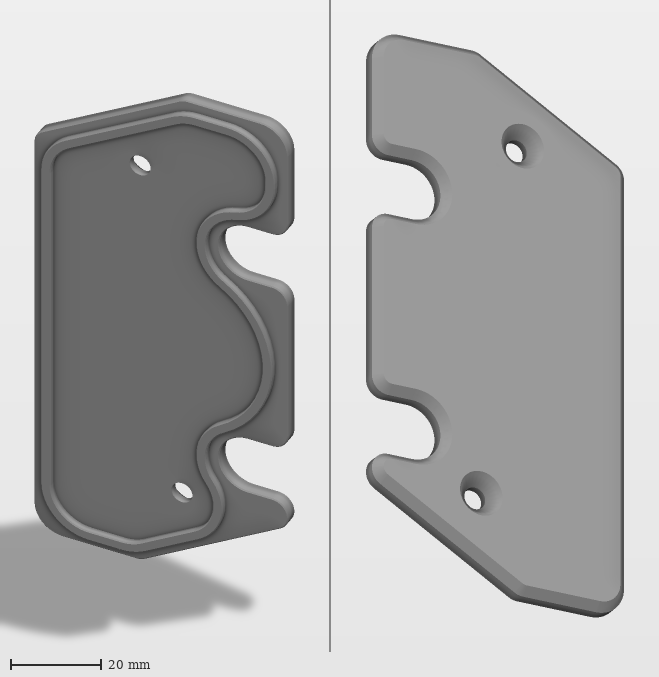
import cadquery as cq
import math

width = 63.0
height = 129.8
slant_angle = math.radians(30)
slope = math.tan(slant_angle)
top_corner_x = 37.0
tip_z = 21.2
left_top_z = height - top_corner_x * slope
bottom_corner_x = width - tip_z / slope
large_corner_radius = 7.0
small_corner_radius = 4.0

slot_radius = 7.1
slot_center_x = 53.1
lower_slot_z = 34.8
upper_slot_z = 92.9

plate_thickness = 5.0
rib_height = 1.7
back_chamfer = 2.0
edge_chamfer = 0.3

rib_margin = 2.5
rib_width = 2.5
rib_corner_radius = 12.0
rib_lobe_x = 60.6
rib_bulge_x = 60.0

hole_diameter = 5.2
countersink_diameter = 10.6
countersink_depth = 3.1
hole_places = [(26.3, 108.2), (36.7, 21.9)]

smallest_line = 1.3e-06


def step(start, end, distance):
    """Point at a given distance from start on the way to end."""
    share = distance / math.dist(start, end)
    return (start[0] + share * (end[0] - start[0]), start[1] + share * (end[1] - start[1]))


def rounded_polygon(corners):
    """Closed outline through (x, z, radius) corners, each rounded by a tangent arc."""
    rounds = []
    for i, (x, z, radius) in enumerate(corners):
        corner = (x, z)
        before = corners[i - 1][:2]
        after = corners[(i + 1) % len(corners)][:2]
        incoming = math.atan2(z - before[1], x - before[0])
        outgoing = math.atan2(after[1] - z, after[0] - x)
        turn = abs(math.remainder(outgoing - incoming, math.tau))
        reach = radius * math.tan(turn / 2)
        rounds.append((step(corner, before, reach), step(corner, after, reach)))
    outline = cq.Workplane("XZ").moveTo(*rounds[-1][1])
    position = rounds[-1][1]
    for arc_start, arc_end in rounds:
        if math.dist(position, arc_start) > smallest_line:
            outline = outline.lineTo(*arc_start)
        outline = outline.tangentArcPoint(arc_end, relative=False)
        position = arc_end
    return outline.close()


def slot_corners(center_z):
    """Corners of one slot, from its lower mouth round the end to its upper mouth."""
    end_x = slot_center_x - slot_radius
    bottom = center_z - slot_radius
    top = center_z + slot_radius
    return [
        (width, bottom, small_corner_radius),
        (end_x, bottom, slot_radius),
        (end_x, top, slot_radius),
        (width, top, small_corner_radius),
    ]


def make_plate():
    corners = [
        (0, 0, large_corner_radius),
        (bottom_corner_x, 0, small_corner_radius),
        (width, tip_z, small_corner_radius),
        *slot_corners(lower_slot_z),
        *slot_corners(upper_slot_z),
        (width, height, large_corner_radius),
        (top_corner_x, height, small_corner_radius),
        (0, left_top_z, small_corner_radius),
    ]
    plate = rounded_polygon(corners).extrude(-plate_thickness)
    plate = plate.faces(">Y").chamfer(back_chamfer)
    return plate.faces("<Y").chamfer(edge_chamfer)


def rib_outline():
    """Outer edge of the rib: straight runs and arcs that all meet tangentially."""
    r = rib_corner_radius
    inset = rib_margin + r
    run = (math.cos(slant_angle), math.sin(slant_angle))
    obtuse_shift = inset * math.tan(slant_angle / 2)
    hollow = slot_radius + rib_margin
    lower_slot = (slot_center_x, lower_slot_z)
    upper_slot = (slot_center_x, upper_slot_z)

    bottom_left = (inset, inset)
    bottom_right = (bottom_corner_x - obtuse_shift, inset)
    top_left = (inset, left_top_z + inset * (slope - 1 / run[0]))
    top_middle = (top_corner_x + obtuse_shift, height - inset)
    lobe_x = rib_lobe_x - r

    lobe_rise = math.sqrt((r + hollow) ** 2 - (lobe_x - slot_center_x) ** 2)
    lobe = (lobe_x, upper_slot_z + lobe_rise)

    bulge_z = (lower_slot_z + upper_slot_z) / 2
    half_gap = (upper_slot_z - lower_slot_z) / 2
    lead = rib_bulge_x - slot_center_x
    bulge_radius = (lead**2 + half_gap**2 - hollow**2) / (2 * (lead + hollow))
    bulge = (rib_bulge_x - bulge_radius, bulge_z)

    to_slot = (lower_slot[0] - bottom_right[0], lower_slot[1] - bottom_right[1])
    along = to_slot[0] * run[0] + to_slot[1] * run[1]
    across = to_slot[1] * run[0] - to_slot[0] * run[1]
    travel = along - math.sqrt((r + hollow) ** 2 - across**2)
    foot = (bottom_right[0] + travel * run[0], bottom_right[1] + travel * run[1])

    def lower_slant(center):
        """Point where the arc round this center meets the lower slant run."""
        return (center[0] + r * run[1], center[1] - r * run[0])

    def upper_slant(center):
        """Point where the arc round this center meets the upper slant run."""
        return (center[0] - r * run[1], center[1] + r * run[0])

    return (
        cq.Workplane("XZ")
        .moveTo(bottom_left[0], rib_margin)
        .lineTo(bottom_right[0], rib_margin)
        .tangentArcPoint(lower_slant(bottom_right), relative=False)
        .lineTo(*lower_slant(foot))
        .tangentArcPoint(step(foot, lower_slot, r), relative=False)
        .tangentArcPoint(step(lower_slot, bulge, hollow), relative=False)
        .tangentArcPoint(step(upper_slot, bulge, hollow), relative=False)
        .tangentArcPoint(step(lobe, upper_slot, r), relative=False)
        .tangentArcPoint((rib_lobe_x, lobe[1]), relative=False)
        .lineTo(rib_lobe_x, height - inset)
        .tangentArcPoint((lobe_x, height - rib_margin), relative=False)
        .lineTo(top_middle[0], height - rib_margin)
        .tangentArcPoint(upper_slant(top_middle), relative=False)
        .lineTo(*upper_slant(top_left))
        .tangentArcPoint((rib_margin, top_left[1]), relative=False)
        .lineTo(rib_margin, bottom_left[1])
        .tangentArcPoint((bottom_left[0], rib_margin), relative=False)
        .close()
    )


def make_rib():
    outer = rib_outline().extrude(rib_height)
    inner = rib_outline().offset2D(-rib_width).extrude(rib_height)
    return outer.cut(inner).faces("<Y").chamfer(edge_chamfer)


def make_holes():
    """Cutters for the through holes and the conical sinks in the back face."""
    holes = cq.Workplane("XZ").pushPoints(hole_places).circle(hole_diameter / 2).extrude(-plate_thickness)
    back = cq.Workplane("XZ", origin=(0, plate_thickness, 0))
    for place in hole_places:
        mouth = back.center(*place).circle(countersink_diameter / 2)
        sink = mouth.workplane(offset=countersink_depth).circle(hole_diameter / 2).loft()
        holes = holes.union(sink)
    return holes


result = make_plate().union(make_rib()).cut(make_holes())